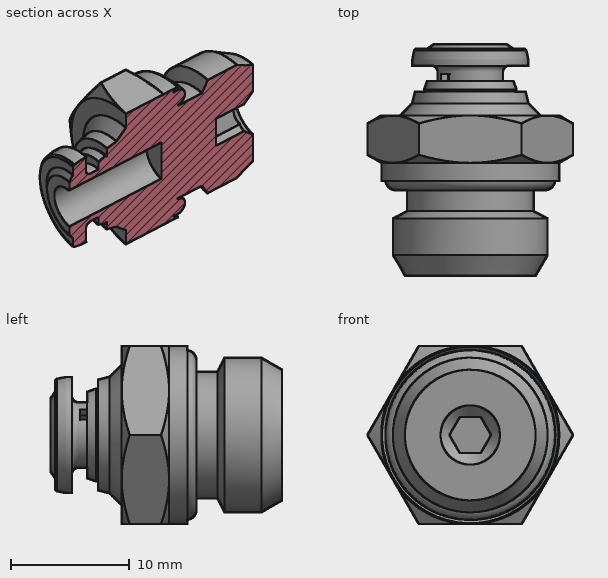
import cadquery as cq
import math

LENGTH = 19.5

THREAD_RADIUS = 6.51
THREAD_TIP_RADIUS = 5.5
THREAD_TIP_END = 1.75
THREAD_END = 4.84
GROOVE_START = 5.45
GROOVE_RADIUS = 5.35

RING_START = 7.2
RING_RADIUS = 7.15
COLLAR_START = 7.98
RECESS_RIM_RADIUS = 7.43
RECESS_CONTACT_ANGLE = 20.0

HEX_ACROSS_FLATS = 15.0
HEX_START = 9.52
HEX_END = 13.5
HEX_CHAMFER_ANGLE = 30.0

SHOULDER_BASE_RADIUS = 5.9
SHOULDER_MID = 14.5
SHOULDER_MID_RADIUS = 4.91
SHOULDER_END = 15.5
SHOULDER_END_RADIUS = 4.66

FLANGE_BASE_RADIUS = 3.76
FLANGE_PEAK = 15.68
FLANGE_PEAK_RADIUS = 3.9
FLANGE_END = 16.4
FLANGE_END_RADIUS = 3.65

NECK_RADIUS = 2.77
NECK_FLARE_START = 17.18
NECK_FLARE_RADIUS = 3.15
BUTTON_START = 17.67
BUTTON_RADIUS = 4.9
BUTTON_TAPER_START = 18.17
BUTTON_TAPER_END = 18.95
BUTTON_TAPER_RADIUS = 4.74
BUTTON_FACE = 19.11
BUTTON_FACE_RADIUS = 4.58
BUTTON_CONE_RADIUS = 3.63
BUTTON_TIP_RADIUS = 3.06

BORE_RADIUS = 2.05
BORE_BOTTOM = 9.75

NOTCH_WIDTH = 1.07
NOTCH_END = 16.98
NOTCH_ANGLE = 141.0

SOCKET_ACROSS_FLATS = 3.05
SOCKET_DEPTH = 3.9
LEAD_IN_RADIUS = 2.5
LEAD_IN_ANGLE = 45.0


def corner_radius(across_flats):
    """Distance from the centre of a hexagon to its corners."""
    return across_flats / math.sqrt(3)


def revolve_about_y(profile):
    """Turn a closed (radius, y) profile into a solid about the Y axis."""
    return profile.close().revolve(360, (0, 0, 0), (0, 1, 0))


def hex_prism(across_flats, start, end):
    """Hexagonal prism along Y with two corners on the X axis."""
    return (
        cq.Workplane("XZ", origin=(0, start, 0))
        .polygon(6, 2 * corner_radius(across_flats))
        .extrude(start - end)
    )


def turned_front():
    """Threaded stub, groove, sealing ring and collar."""
    collar_radius = HEX_ACROSS_FLATS / 2
    ring_section_radius = (RING_RADIUS - GROOVE_RADIUS) / 2
    ring_centre_radius = (RING_RADIUS + GROOVE_RADIUS) / 2
    ring_centre_y = RING_START + ring_section_radius
    contact_angle = math.radians(RECESS_CONTACT_ANGLE)
    recess_contact = (
        ring_centre_radius + ring_section_radius * math.cos(contact_angle),
        ring_centre_y + ring_section_radius * math.sin(contact_angle),
    )
    return revolve_about_y(
        cq.Workplane("XY")
        .lineTo(THREAD_TIP_RADIUS, 0)
        .lineTo(THREAD_RADIUS, THREAD_TIP_END)
        .lineTo(THREAD_RADIUS, THREAD_END)
        .lineTo(GROOVE_RADIUS, GROOVE_START)
        .lineTo(GROOVE_RADIUS, ring_centre_y)
        .threePointArc((ring_centre_radius, RING_START), recess_contact)
        .lineTo(RECESS_RIM_RADIUS, COLLAR_START)
        .lineTo(collar_radius, COLLAR_START)
        .lineTo(collar_radius, HEX_START)
        .lineTo(0, HEX_START)
    )


def hex_nut():
    """Hexagon with its corners chamfered conically at both ends."""
    flat_radius = HEX_ACROSS_FLATS / 2
    outer_radius = corner_radius(HEX_ACROSS_FLATS)
    chamfer = (outer_radius - flat_radius) * math.tan(math.radians(HEX_CHAMFER_ANGLE))
    envelope = revolve_about_y(
        cq.Workplane("XY")
        .moveTo(0, HEX_START)
        .lineTo(flat_radius, HEX_START)
        .lineTo(outer_radius, HEX_START + chamfer)
        .lineTo(outer_radius, HEX_END - chamfer)
        .lineTo(flat_radius, HEX_END)
        .lineTo(0, HEX_END)
    )
    return hex_prism(HEX_ACROSS_FLATS, HEX_START, HEX_END).intersect(envelope)


def turned_back():
    """Shoulder, collet flange, flared neck and release button."""
    flare_rise = NECK_FLARE_RADIUS - NECK_RADIUS
    flare_length = BUTTON_START - NECK_FLARE_START
    flare_arc = (flare_rise**2 + flare_length**2) / (2 * flare_rise)
    half_sweep = math.asin(flare_length / flare_arc) / 2
    flare_middle = (
        NECK_RADIUS + flare_arc * (1 - math.cos(half_sweep)),
        NECK_FLARE_START + flare_arc * math.sin(half_sweep),
    )
    return revolve_about_y(
        cq.Workplane("XY")
        .moveTo(0, HEX_END)
        .lineTo(SHOULDER_BASE_RADIUS, HEX_END)
        .lineTo(SHOULDER_MID_RADIUS, SHOULDER_MID)
        .lineTo(SHOULDER_END_RADIUS, SHOULDER_END)
        .lineTo(FLANGE_BASE_RADIUS, SHOULDER_END)
        .lineTo(FLANGE_PEAK_RADIUS, FLANGE_PEAK)
        .lineTo(FLANGE_END_RADIUS, FLANGE_END)
        .lineTo(NECK_RADIUS, FLANGE_END)
        .lineTo(NECK_RADIUS, NECK_FLARE_START)
        .threePointArc(flare_middle, (NECK_FLARE_RADIUS, BUTTON_START))
        .lineTo(BUTTON_RADIUS, BUTTON_START)
        .lineTo(BUTTON_RADIUS, BUTTON_TAPER_START)
        .lineTo(BUTTON_TAPER_RADIUS, BUTTON_TAPER_END)
        .lineTo(BUTTON_FACE_RADIUS, BUTTON_FACE)
        .lineTo(BUTTON_CONE_RADIUS, BUTTON_FACE)
        .lineTo(BUTTON_TIP_RADIUS, LENGTH)
        .lineTo(0, LENGTH)
    )


def tube_bore():
    """Blind bore for the tube."""
    return (
        cq.Workplane("XZ", origin=(0, BORE_BOTTOM, 0))
        .circle(BORE_RADIUS)
        .extrude(BORE_BOTTOM - LENGTH)
    )


def neck_notch():
    """Radial notch from the bore through the neck wall, from the flange face towards the button."""
    return (
        cq.Workplane("XY")
        .box(
            NECK_RADIUS,
            NOTCH_END - FLANGE_END,
            NOTCH_WIDTH,
            centered=(False, False, True),
        )
        .translate((0, FLANGE_END, 0))
        .rotate((0, 0, 0), (0, 1, 0), -NOTCH_ANGLE)
    )


def key_socket():
    """Hexagonal socket and its lead-in cone, which ends inside the hexagon."""
    cone_depth = LEAD_IN_RADIUS * math.tan(math.radians(LEAD_IN_ANGLE))
    lead_in = revolve_about_y(
        cq.Workplane("XY")
        .lineTo(LEAD_IN_RADIUS, 0)
        .lineTo(0, cone_depth)
    )
    return hex_prism(SOCKET_ACROSS_FLATS, 0, SOCKET_DEPTH).union(lead_in)


result = (
    turned_front()
    .union(hex_nut())
    .union(turned_back())
    .cut(tube_bore())
    .cut(neck_notch())
    .cut(key_socket())
)